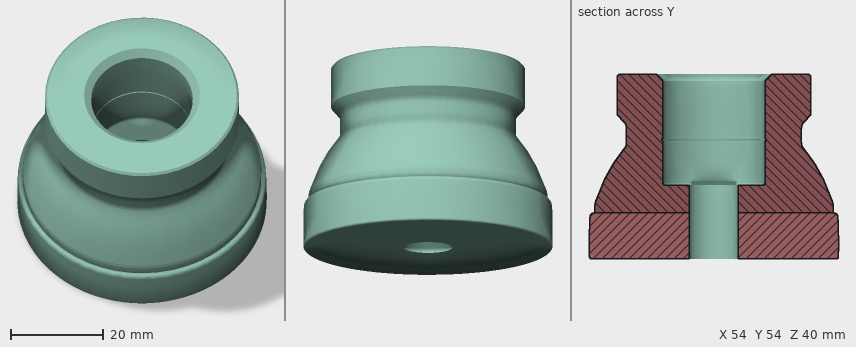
import cadquery as cq
import math

total_height = 40.0
outer_radius = 27.0

pad_height = 10.0
pad_bulge_height = 3.25
pad_shoulder_radius = 26.8
pad_foot_radius = 26.95
pad_bottom_round = 0.5

skirt_radius = 25.8
skirt_top = 11.7

pad_top_round = pad_shoulder_radius - skirt_radius

taper_radius = 25.65
taper_bottom = 12.4
dome_foot_radius = 25.2
dome_foot = 13.6
dome_middle_radius = 23.0
dome_middle = 18.6

neck_radius = 38.0 / 2
neck_bottom = 25.05
neck_top = 28.3
neck_blend = 1.85
blend_angle = math.radians(43)

head_radius = 42.0 / 2
head_bottom = 31.2
head_chamfer = 0.5

bore_radius = 22.0 / 2
bore_mouth_radius = 25.0 / 2
bore_mouth_depth = 1.5
groove_radius = 22.5 / 2
groove_depth = 14.05
groove_width = 0.3
bore_depth = 24.0
bore_floor_round = 0.45
hole_radius = 10.5 / 2


def neck_blend_offset(angle):
    """Radial and axial distance along a neck blend after turning by an angle."""
    return neck_blend * (1 - math.cos(angle)), neck_blend * math.sin(angle)


def make_pad():
    """Ring-shaped pad with a curved side and rounded rims."""
    blank = (
        cq.Workplane("XZ")
        .moveTo(hole_radius, 0)
        .lineTo(pad_foot_radius, 0)
        .threePointArc((outer_radius, pad_bulge_height), (pad_shoulder_radius, pad_height))
        .lineTo(hole_radius, pad_height)
        .close()
        .revolve(360, (0, 0), (0, 1))
    )
    outer_rims = cq.selectors.RadiusNthSelector(-1)
    rounded_top = blank.faces(">Z").edges(outer_rims).fillet(pad_top_round)
    return rounded_top.faces("<Z").edges(outer_rims).fillet(pad_bottom_round)


def make_bore():
    """Volume removed by the conical mouth, the grooved bore and the through hole."""
    floor = total_height - bore_depth
    groove_top = total_height - groove_depth
    groove_bottom = groove_top - groove_width
    mouth_bottom = total_height - bore_mouth_depth
    corner_inset = bore_floor_round * (1 - math.sqrt(0.5))
    return (
        cq.Workplane("XZ")
        .moveTo(0, pad_height)
        .lineTo(hole_radius, pad_height)
        .lineTo(hole_radius, floor)
        .lineTo(bore_radius - bore_floor_round, floor)
        .threePointArc(
            (bore_radius - corner_inset, floor + corner_inset),
            (bore_radius, floor + bore_floor_round),
        )
        .lineTo(bore_radius, groove_bottom)
        .lineTo(groove_radius, groove_bottom)
        .lineTo(groove_radius, groove_top)
        .lineTo(bore_radius, groove_top)
        .lineTo(bore_radius, mouth_bottom)
        .lineTo(bore_mouth_radius, total_height)
        .lineTo(0, total_height)
        .close()
        .revolve(360, (0, 0), (0, 1))
    )


def make_upper_body():
    """Domed body with a necked head, standing on the pad."""
    blend_out, blend_rise = neck_blend_offset(blend_angle)
    middle_out, middle_rise = neck_blend_offset(blend_angle / 2)
    blank = (
        cq.Workplane("XZ")
        .moveTo(0, pad_height)
        .lineTo(skirt_radius, pad_height)
        .lineTo(skirt_radius, skirt_top)
        .lineTo(taper_radius, taper_bottom)
        .lineTo(dome_foot_radius, dome_foot)
        .threePointArc(
            (dome_middle_radius, dome_middle),
            (neck_radius + blend_out, neck_bottom - blend_rise),
        )
        .threePointArc(
            (neck_radius + middle_out, neck_bottom - middle_rise),
            (neck_radius, neck_bottom),
        )
        .lineTo(neck_radius, neck_top)
        .threePointArc(
            (neck_radius + middle_out, neck_top + middle_rise),
            (neck_radius + blend_out, neck_top + blend_rise),
        )
        .lineTo(head_radius, head_bottom)
        .lineTo(head_radius, total_height - head_chamfer)
        .lineTo(head_radius - head_chamfer, total_height)
        .lineTo(0, total_height)
        .close()
        .revolve(360, (0, 0), (0, 1))
    )
    return blank.cut(make_bore())


pad = make_pad()
upper_body = make_upper_body()

result = cq.Compound.makeCompound([pad.val(), upper_body.val()])